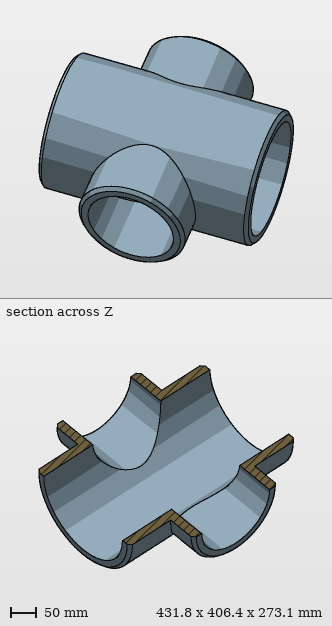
import cadquery as cq

run_length = 431.8
run_outer_diameter = 273.05
branch_span = 406.4
branch_outer_diameter = 219.075
wall = 21.44
bevel = wall / 3


def centred_cylinder(plane, length, diameter):
    """Solid cylinder centred on the origin, along the normal of the plane."""
    return cq.Workplane(plane).circle(diameter / 2).extrude(length / 2, both=True)


def pipe_body(plane, length, outer_diameter):
    """Solid pipe blank with a 45 degree welding bevel around the rim at both ends."""
    normal_axis = {"YZ": "X", "XZ": "Y"}[plane]
    end_faces = f"<{normal_axis} or >{normal_axis}"
    return centred_cylinder(plane, length, outer_diameter).faces(end_faces).edges().chamfer(bevel)


def pipe_bore(plane, length, outer_diameter):
    """Through bore that leaves the wall thickness inside the outer diameter."""
    return centred_cylinder(plane, length, outer_diameter - 2 * wall)


run_body = pipe_body("YZ", run_length, run_outer_diameter)
branch_body = pipe_body("XZ", branch_span, branch_outer_diameter)

run_bore = pipe_bore("YZ", run_length, run_outer_diameter)
branch_bore = pipe_bore("XZ", branch_span, branch_outer_diameter)

result = run_body.union(branch_body).cut(run_bore).cut(branch_bore)